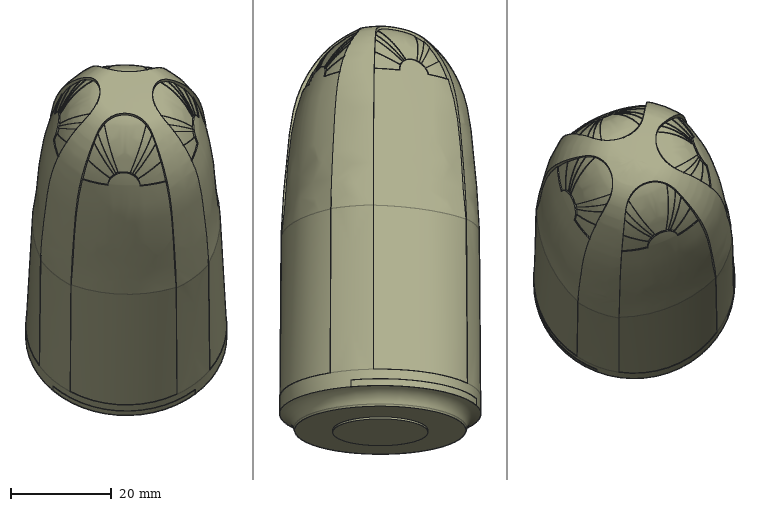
import cadquery as cq
import math

HEIGHT = 83.0
COLLAR_RADIUS = 20.0
COLLAR_BOTTOM_Z = 3.8
COLLAR_TOP_Z = 7.2
SEAM_RADIUS = 19.75
SEAM_Z = 41.2
SEAM_SLOPE = (-0.03, 1.0)
DOME_POINTS = [(18.5, 58.1), (16.3, 70.5), (13.35, 76.1), (9.3, 80.5)]

FOOT_RADIUS = 17.0
FOOT_Z = 0.4
FOOT_BAND_RADIUS = 17.2
FOOT_BAND_Z = 0.8
FOOT_HOLLOW = (17.9, 2.5)
PAD_RADIUS = 9.5

RELIEF_TOP_Z = 5.2
RELIEF_DEPTH = 0.1

PANEL_COUNT = 4
PANEL_TIP_RADIUS = 6.4
PANEL_TIP_CENTER = 11.6
RIB_HALF_WIDTH = 4.5
RIB_EDGE_REACH = 19.5
OUTLINE_OVERRUN = 1.5

FLOOR_BASE_DEPTH = 19.9
FLOOR_SEAM_DEPTH = 18.7
FLOOR_AXIS_OFFSET = 8.7
FLOOR_SECTION_HALF_WIDTH = 13.3
FLOOR_POINTS = [(17.25, 58.1), (14.7, 70.5), (9.95, 78.8), (4.6, 82.4)]

HUB_CENTER_Z = 70.45
FAN_BOTTOM_Z = 70.8
FAN_SINK = 0.2
PLEAT_SINK = 0.25
HUB_RADIUS = 3.2
PLEAT_ANGLES = [(31, 51), (59, 68)]
FAN_REACH = 24.9


def make_body():
    """Bullet-shaped body of revolution with collar, concave foot and base pad."""
    return (
        cq.Workplane("XZ")
        .moveTo(0, 0)
        .lineTo(PAD_RADIUS, 0)
        .lineTo(PAD_RADIUS, FOOT_Z)
        .lineTo(FOOT_RADIUS, FOOT_Z)
        .lineTo(FOOT_BAND_RADIUS, FOOT_BAND_Z)
        .threePointArc(FOOT_HOLLOW, (COLLAR_RADIUS, COLLAR_BOTTOM_Z))
        .lineTo(COLLAR_RADIUS, COLLAR_TOP_Z)
        .lineTo(SEAM_RADIUS, SEAM_Z)
        .spline(DOME_POINTS + [(0, HEIGHT)], tangents=[SEAM_SLOPE, (-1, 0)], includeCurrent=True)
        .close()
        .revolve()
    )


def make_collar_relief():
    """Thin ring cutter limited to the (+X, -Y) and (-X, +Y) quarters."""
    height = RELIEF_TOP_Z - COLLAR_BOTTOM_Z
    base = cq.Workplane("XY", origin=(0, 0, COLLAR_BOTTOM_Z))
    ring = base.circle(2 * COLLAR_RADIUS).circle(COLLAR_RADIUS - RELIEF_DEPTH).extrude(height)
    side = 2 * COLLAR_RADIUS
    quarters = base.pushPoints([(side / 2, -side / 2), (-side / 2, side / 2)]).rect(side, side)
    return ring.intersect(quarters.extrude(height))


def make_outline():
    """Prism over the panel outline, with the panel's diagonal along +X."""
    along = (RIB_EDGE_REACH + RIB_HALF_WIDTH) / math.sqrt(2)
    across = (RIB_EDGE_REACH - RIB_HALF_WIDTH) / math.sqrt(2)

    reach = math.hypot(along - PANEL_TIP_CENTER, across)
    bearing = math.atan2(across, along - PANEL_TIP_CENTER)
    turn = bearing + math.acos(PANEL_TIP_RADIUS / reach)
    touch_x = PANEL_TIP_CENTER + PANEL_TIP_RADIUS * math.cos(turn)
    touch_y = PANEL_TIP_RADIUS * math.sin(turn)
    far_x = touch_x + (along - touch_x) * OUTLINE_OVERRUN
    far_y = touch_y + (across - touch_y) * OUTLINE_OVERRUN

    return (
        cq.Workplane("XY", origin=(0, 0, COLLAR_TOP_Z))
        .moveTo(far_x, far_y)
        .lineTo(touch_x, touch_y)
        .threePointArc((PANEL_TIP_CENTER - PANEL_TIP_RADIUS, 0), (touch_x, -touch_y))
        .lineTo(far_x, -far_y)
        .close()
        .extrude(HEIGHT)
    )


def floor_section(z, depth, radius):
    """Closed wire at height z whose arc crowns at the given depth along +X."""
    half_width = FLOOR_SECTION_HALF_WIDTH
    edge_depth = depth - radius + math.sqrt(radius**2 - half_width**2)
    return (
        cq.Workplane("XY", origin=(0, 0, z))
        .moveTo(0, -half_width)
        .lineTo(edge_depth, -half_width)
        .threePointArc((depth, 0), (edge_depth, half_width))
        .lineTo(0, half_width)
        .close()
        .val()
    )


def make_lower_floor():
    """Material under the floor below the seam, growing flatter from the collar upwards."""
    base = floor_section(COLLAR_TOP_Z, FLOOR_BASE_DEPTH, FLOOR_BASE_DEPTH)
    seam = floor_section(SEAM_Z, FLOOR_SEAM_DEPTH, FLOOR_SEAM_DEPTH + FLOOR_AXIS_OFFSET)
    return cq.Workplane(cq.Solid.makeLoft([base, seam], True))


def make_upper_floor():
    """Material under the floor above the seam, turned about an axis behind the part axis."""
    back = -FLOOR_AXIS_OFFSET
    top_z = FLOOR_POINTS[-1][1]
    return (
        cq.Workplane("XZ")
        .moveTo(back, SEAM_Z)
        .lineTo(FLOOR_SEAM_DEPTH, SEAM_Z)
        .spline(FLOOR_POINTS, includeCurrent=True)
        .lineTo(back, top_z)
        .close()
        .revolve(360, (back, 0, 0), (back, 1, 0))
    )


def make_pleat_wedge(start_angle, end_angle):
    """Prism along X over one sector that spreads upwards from the hub centre."""
    corners = [
        (FAN_REACH * math.cos(math.radians(angle)), FAN_REACH * math.sin(math.radians(angle)))
        for angle in (start_angle, end_angle)
    ]
    return (
        cq.Workplane("YZ", origin=(0, 0, HUB_CENTER_Z))
        .polyline([(0, 0)] + corners)
        .close()
        .extrude(FAN_REACH)
    )


def make_fan_cutters(outline, floor):
    """Cutters for the fan floor and for each of its deeper pleats."""
    fan_box = cq.Workplane("XY", origin=(0, 0, FAN_BOTTOM_Z))
    above = fan_box.rect(2 * FAN_REACH, 2 * FAN_REACH).extrude(FAN_REACH)
    hub = cq.Workplane("YZ", origin=(0, 0, HUB_CENTER_Z)).circle(HUB_RADIUS).extrude(FAN_REACH)
    region = outline.intersect(above).cut(hub)

    cutters = [region.cut(floor.translate((-FAN_SINK, 0, -FAN_SINK)))]
    pleat_region = region.cut(floor.translate((-PLEAT_SINK, 0, -PLEAT_SINK)))
    for start_angle, end_angle in PLEAT_ANGLES:
        wedge = make_pleat_wedge(start_angle, end_angle)
        for pleat in (wedge, wedge.mirror("XZ")):
            cutters.append(pleat_region.intersect(pleat))
    return cutters


def make_panel_cutters():
    """All material removed for the panel whose diagonal lies along +X."""
    outline = make_outline()
    upper_floor = make_upper_floor()
    panel = outline.cut(make_lower_floor()).cut(upper_floor)
    return [panel] + make_fan_cutters(outline, upper_floor)


result = make_body().cut(make_collar_relief())
panel_cutters = make_panel_cutters()
for index in range(PANEL_COUNT):
    diagonal_angle = (index + 0.5) * 360 / PANEL_COUNT
    for cutter in panel_cutters:
        result = result.cut(cutter.rotate((0, 0, 0), (0, 0, 1), diagonal_angle))